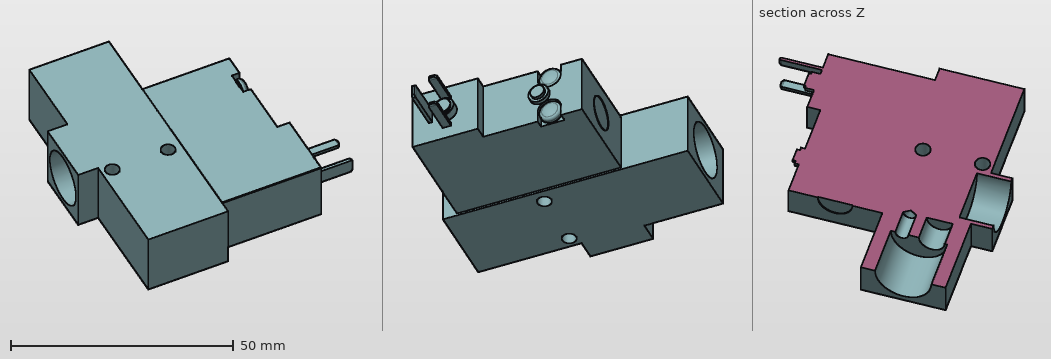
import cadquery as cq
import math

BODY_LENGTH = 60.0
BODY_HEIGHT = 16.0
BODY_FRONT = 5.0
BODY_DEPTH = 20.05
BODY_BACK = BODY_FRONT + BODY_DEPTH
BODY_MID_Y = BODY_FRONT + BODY_DEPTH / 2
BODY_LEFT = -BODY_LENGTH / 2
BOSS_WIDTH = 15.4
BOSS_X = -3.0

PORT_DIAMETER = 13.2
FRONT_PORT_DEPTH = 8.0
SIDE_PORT_DEPTH = 12.05
WIDE_PASSAGE_DIAMETER = 6.0
WIDE_PASSAGE_OFFSET = -3.0
DRILLED_PASSAGE_DIAMETER = 3.0
DRILLED_PASSAGE_OFFSET = 4.05
PASSAGE_DEPTH = 6.0
DRILL_TIP_LENGTH = 0.9

MOUNT_DIAMETER = 3.4
MOUNT_X = 6.55
MOUNT_SHIFT_Y = 0.35
MOUNT_SPACING = 14.0
MOUNT_MID_Y = BODY_MID_Y - MOUNT_SHIFT_Y

HOUSING_LEFT = -13.65
HOUSING_RIGHT = 26.55
HOUSING_HEIGHT = 14.85
HOUSING_BACK = 47.15
STEP_LEFT = 10.55
STEP_BACK = 50.2
LEDGE_WIDTH = 0.2
LEDGE_FRONT_WIDTH = 0.3
LEDGE_DEPTH = 0.1
LEDGE_LEFT = 0.55
SIDE_RECESS_DIAMETER = 8.1
SIDE_RECESS_DEPTH = 0.2
SIDE_RECESS_Y = 36.1

SCREW_X = -5.65
SCREW_Z = 4.8
SCREW_DIAMETER = 5.4
SCREW_RIM = 0.4
SCREW_CYLINDER = 0.7
SCREW_SHOULDER = 0.7
SCREW_CAP_RISE = 0.4
POCKET_WIDTH = 5.7
POCKET_DEPTH = 1.9
SCREW_RIM_INSET = 0.35

COVER_STUD_X = -3.4
COVER_STUD_STAGES = [(4.9, 0.95), (3.4, 0.7)]
TERMINAL_STUD_X = 18.1
TERMINAL_STUD_STAGES = [(5.0, 2.05), (3.8, 0.5)]

BLADE_THICKNESS = 0.85
BLADE_TIP_LENGTH = 0.5
BLADE_TIP_EDGE_INSET = 0.5
BLADE_TIP_FACE_INSET = 0.15
EARTH_BLADE_X = 22.1
EARTH_BLADE_WIDTH = 3.55
EARTH_BLADE_END = 60.2
SIDE_BLADE_WIDTH = 2.05
SIDE_BLADE_Z = 3.9
SIDE_BLADE_END = 58.7


def block(x_min, x_max, y_min, y_max, height):
    """Box centred on Z = 0."""
    return (
        cq.Workplane("XY")
        .box(x_max - x_min, y_max - y_min, height, centered=(False, False, True))
        .translate((x_min, y_min, 0))
    )


def rod_x(diameter, x_start, y, length):
    """Cylinder running toward +X."""
    return cq.Workplane("YZ", origin=(x_start, y, 0)).circle(diameter / 2).extrude(length)


def plane_facing_back(x, y, z):
    """Workplane with local x along -X, local y along Z and its normal along +Y."""
    return cq.Workplane(cq.Plane(origin=(x, y, z), xDir=(-1, 0, 0), normal=(0, 1, 0)))


def make_body():
    body = block(BODY_LEFT, -BODY_LEFT, BODY_FRONT, BODY_BACK, BODY_HEIGHT)
    boss = block(BOSS_X - BOSS_WIDTH / 2, BOSS_X + BOSS_WIDTH / 2, 0, BODY_MID_Y, BODY_HEIGHT)
    mount_y = [MOUNT_MID_Y - MOUNT_SPACING / 2, MOUNT_MID_Y + MOUNT_SPACING / 2]
    mounts = (
        cq.Workplane("XY", origin=(0, 0, -BODY_HEIGHT / 2))
        .pushPoints([(MOUNT_X, y) for y in mount_y])
        .circle(MOUNT_DIAMETER / 2)
        .extrude(BODY_HEIGHT)
    )
    front_port = plane_facing_back(BOSS_X, 0, 0).circle(PORT_DIAMETER / 2).extrude(FRONT_PORT_DEPTH)
    return body.union(boss).cut(mounts).cut(front_port).cut(make_side_port())


def make_side_port():
    """Bore with a flat-bottomed passage and a drilled passage in its floor."""
    floor_x = BODY_LEFT + SIDE_PORT_DEPTH
    port = rod_x(PORT_DIAMETER, BODY_LEFT, BODY_MID_Y, SIDE_PORT_DEPTH)
    wide_passage = rod_x(WIDE_PASSAGE_DIAMETER, floor_x, BODY_MID_Y + WIDE_PASSAGE_OFFSET, PASSAGE_DEPTH)
    drilled_passage = (
        cq.Workplane("XY")
        .polyline([
            (0, 0),
            (0, DRILLED_PASSAGE_DIAMETER / 2),
            (PASSAGE_DEPTH, DRILLED_PASSAGE_DIAMETER / 2),
            (PASSAGE_DEPTH + DRILL_TIP_LENGTH, 0),
        ])
        .close()
        .revolve(360, (0, 0, 0), (1, 0, 0))
        .translate((floor_x, BODY_MID_Y + DRILLED_PASSAGE_OFFSET, 0))
    )
    return port.union(wide_passage).union(drilled_passage)


def make_housing():
    housing = block(HOUSING_LEFT, HOUSING_RIGHT, BODY_BACK, HOUSING_BACK, HOUSING_HEIGHT)
    step = block(STEP_LEFT, HOUSING_RIGHT, BODY_BACK, STEP_BACK, HOUSING_HEIGHT)
    recess = rod_x(SIDE_RECESS_DIAMETER, HOUSING_LEFT, SIDE_RECESS_Y, SIDE_RECESS_DEPTH)
    housing = housing.union(step).cut(recess).cut(make_ledge())
    for side in (-1, 1):
        housing = housing.cut(make_screw_pocket(side)).union(make_screw(side))
    return housing


def make_ledge():
    """Shallow L-shaped rebate along the right and front edges of the upper face."""
    right = block(HOUSING_RIGHT - LEDGE_WIDTH, HOUSING_RIGHT, BODY_BACK, STEP_BACK, LEDGE_DEPTH)
    front = block(LEDGE_LEFT, HOUSING_RIGHT, BODY_BACK, BODY_BACK + LEDGE_FRONT_WIDTH, LEDGE_DEPTH)
    return right.union(front).translate((0, 0, (HOUSING_HEIGHT - LEDGE_DEPTH) / 2))


def make_screw_pocket(side):
    """U-shaped pocket: round around the screw axis, straight out through the housing face."""
    floor_y = HOUSING_BACK - POCKET_DEPTH
    opening = HOUSING_HEIGHT / 2 - SCREW_Z
    centre_z = side * SCREW_Z
    round_end = plane_facing_back(SCREW_X, floor_y, centre_z).circle(POCKET_WIDTH / 2).extrude(POCKET_DEPTH)
    straight_end = (
        plane_facing_back(SCREW_X, floor_y, centre_z + side * opening / 2)
        .rect(POCKET_WIDTH, opening)
        .extrude(POCKET_DEPTH)
    )
    return round_end.union(straight_end)


def make_screw(side):
    """Head with a tapered underside, a short cylinder, a rounded shoulder and a shallow cap."""
    radius = SCREW_DIAMETER / 2
    shoulder_start = SCREW_RIM + SCREW_CYLINDER
    shoulder_end = shoulder_start + SCREW_SHOULDER
    shoulder_mid = SCREW_SHOULDER * math.sqrt(0.5)
    cap_radius = radius - SCREW_SHOULDER
    cap_top = shoulder_end + SCREW_CAP_RISE
    cap_sphere_radius = (cap_radius**2 + SCREW_CAP_RISE**2) / (2 * SCREW_CAP_RISE)
    return (
        cq.Workplane("XY")
        .moveTo(0, 0)
        .lineTo(radius - SCREW_RIM_INSET, 0)
        .lineTo(radius, SCREW_RIM)
        .lineTo(radius, shoulder_start)
        .threePointArc((cap_radius + shoulder_mid, shoulder_start + shoulder_mid), (cap_radius, shoulder_end))
        .radiusArc((0, cap_top), -cap_sphere_radius)
        .close()
        .revolve(360, (0, 0, 0), (0, 1, 0))
        .translate((SCREW_X, HOUSING_BACK - POCKET_DEPTH, side * SCREW_Z))
    )


def make_stud(x, base_y, stages):
    """Stack of coaxial cylinders rising toward +Y."""
    stud = cq.Workplane("XY")
    for diameter, height in stages:
        stud = stud.union(plane_facing_back(x, base_y, 0).circle(diameter / 2).extrude(height))
        base_y += height
    return stud


def make_blade(x, z, size_x, size_z, inset_x, inset_z, end_y):
    """Rectangular blade from the step face to end_y, tapering over its tip."""
    tip_start = end_y - BLADE_TIP_LENGTH
    shank = plane_facing_back(x, STEP_BACK, z).rect(size_x, size_z).extrude(tip_start - STEP_BACK)
    tip = (
        plane_facing_back(x, tip_start, z)
        .rect(size_x, size_z)
        .workplane(offset=BLADE_TIP_LENGTH)
        .rect(size_x - 2 * inset_x, size_z - 2 * inset_z)
        .loft()
    )
    return shank.union(tip)


result = make_body().union(make_housing())
result = result.union(make_stud(COVER_STUD_X, HOUSING_BACK, COVER_STUD_STAGES))
result = result.union(make_stud(TERMINAL_STUD_X, STEP_BACK, TERMINAL_STUD_STAGES))

earth_blade = make_blade(
    EARTH_BLADE_X, 0, BLADE_THICKNESS, EARTH_BLADE_WIDTH,
    BLADE_TIP_FACE_INSET, BLADE_TIP_EDGE_INSET, EARTH_BLADE_END,
)
result = result.union(earth_blade)
for side in (-1, 1):
    side_blade = make_blade(
        TERMINAL_STUD_X, side * SIDE_BLADE_Z, SIDE_BLADE_WIDTH, BLADE_THICKNESS,
        BLADE_TIP_EDGE_INSET, BLADE_TIP_FACE_INSET, SIDE_BLADE_END,
    )
    result = result.union(side_blade)